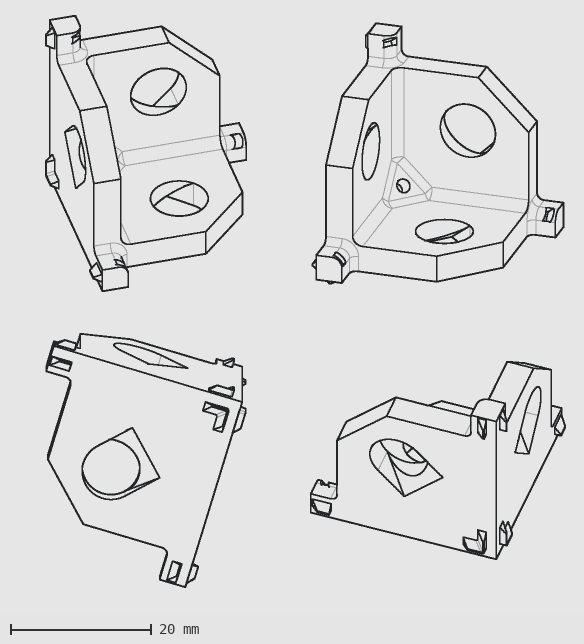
import cadquery as cq
import math


overall = 29.0
tab_height = 1.0
arm_length = overall - tab_height
arm_width = 3.83
arm_round = 1.45
wall = 4.0
plate_reach = 23.5
plate_reach_y = 24.07
plate_chamfer = 7.5
arm_fillet = 1.02

gusset_leg = 6.0
inner_fillet = 1.45
gusset_hole_diameter = 2.0
gusset_hole_depth = 2.9

window_center = 15.0
window_diameter = 8.2

slot_center = 27.03
slot_width = 1.15
slot_depth = 2.32

tab_offset = 1.5
tab_width = 1.33
tab_slope = 1.1
tab_start = 24.9
tab_end = 27.78
corner_tab_end = 5.02
corner_tab_round = 0.32
corner_tab_mitre_round = 0.44

ORIGIN = (0, 0, 0)
DIAGONAL = (1, 1, 1)
DIAGONAL_PLANE_NORMAL = (1, -1, 0)
NEAR = 0.03


def around_diagonal(shape):
    """The shape as given and turned so that X goes to Y, then to Z."""
    return [shape.rotate(ORIGIN, DIAGONAL, turn) for turn in (0, 120, 240)]


def plate(plane, reach_u, reach_v, thickness):
    """Plate with one corner at the origin and the opposite corner cut off at 45 degrees."""
    return (
        cq.Workplane(plane)
        .moveTo(0, 0)
        .lineTo(reach_u, 0)
        .lineTo(reach_u, reach_v - plate_chamfer)
        .lineTo(reach_u - plate_chamfer, reach_v)
        .lineTo(0, reach_v)
        .close()
        .extrude(thickness)
    )


def arm():
    """Square bar along X with its inner long edge rounded."""
    bar = cq.Workplane("XY").box(arm_length, arm_width, arm_width, centered=False)
    return bar.edges("|X and >Y and >Z").fillet(arm_round)


def gusset():
    """Tetrahedron filling the inner corner, with equal legs along the three plates."""
    leg = wall + gusset_leg
    corner = cq.Vector(wall, wall, wall)
    tips = [cq.Vector(leg, wall, wall), cq.Vector(wall, leg, wall), cq.Vector(wall, wall, leg)]
    triangles = [tips, [corner, tips[0], tips[1]], [corner, tips[1], tips[2]], [corner, tips[2], tips[0]]]
    faces = [cq.Face.makeFromWires(cq.Wire.makePolygon(t, close=True)) for t in triangles]
    return cq.Workplane(cq.Solid.makeSolid(cq.Shell.makeShell(faces)))


def window():
    """Round hole through the floor plate, with a wedge running out parallel to the body diagonal."""
    hole = cq.Workplane("XY").center(window_center, window_center).circle(window_diameter / 2).extrude(wall)
    section = cq.Plane((window_center, window_center, 0), xDir=(1, 1, 0), normal=DIAGONAL_PLANE_NORMAL)
    wedge = (
        cq.Workplane(section)
        .polyline([(0, 0), (-wall * math.sqrt(2), 0), (0, wall)])
        .close()
        .extrude(window_diameter / 2, both=True)
    )
    return hole.union(wedge)


def arm_slot():
    """Slot along the body diagonal, as wide as the rounded edge of the X arm."""
    middle = arm_width - arm_round + arm_round / math.sqrt(2)
    section = cq.Plane((slot_center, middle, middle), xDir=(0, 1, -1), normal=DIAGONAL)
    height = slot_width * math.sqrt(2 / 3)
    return (
        cq.Workplane(section)
        .rect(arm_round * math.sqrt(2), height)
        .extrude(slot_depth, both=True)
    )


def tapered_tab(base, tip):
    """Flat-sided tab from its base outline at z = 0 down to its tip outline."""
    return (
        cq.Workplane("XY").polyline(base).close()
        .workplane(offset=-tab_height).polyline(tip).close()
        .loft(ruled=True)
    )


def arm_tab():
    """Tab under the X arm, sloped on its inner side and its far end."""
    def outline(inset):
        inner = tab_offset + tab_width - inset
        end = tab_end - inset
        return [(tab_start, tab_offset), (end, tab_offset), (end, inner), (tab_start, inner)]

    return tapered_tab(outline(0), outline(tab_slope))


def corner_tab():
    """L-shaped tab under the corner, sloped on its inner sides and, at 45 degrees, on both ends."""
    def outline(side_inset, end_inset):
        outer = tab_offset
        inner = tab_offset + tab_width - side_inset
        end = corner_tab_end - end_inset
        return [(outer, outer), (end, outer), (end, inner), (inner, inner), (inner, end), (outer, end)]

    tab = tapered_tab(outline(0, 0), outline(tab_slope, tab_height))
    mid_height = -tab_height / 2
    mid_slope = tab_offset + tab_width - tab_slope / 2
    outer_corner = cq.selectors.NearestToPointSelector((tab_offset, tab_offset, mid_height))
    mitre = cq.selectors.NearestToPointSelector((mid_slope, mid_slope, mid_height))
    tab = tab.edges(mitre).fillet(corner_tab_mitre_round)
    return tab.edges(outer_corner).fillet(corner_tab_round)


body = plate("XY", plate_reach, plate_reach_y, wall)
body = body.union(plate("XZ", plate_reach, plate_reach, -wall))
body = body.union(plate("YZ", plate_reach_y, plate_reach, wall))
body = body.union(gusset())

low = wall - NEAR
high = wall + NEAR
gusset_reach = wall + gusset_leg
junctions = (
    cq.selectors.BoxSelector((low, low, low), (gusset_reach, gusset_reach, gusset_reach))
    + cq.selectors.BoxSelector((gusset_reach, low, low), (plate_reach, high, high))
    + cq.selectors.BoxSelector((low, gusset_reach, low), (high, plate_reach_y, high))
    + cq.selectors.BoxSelector((low, low, gusset_reach), (high, high, plate_reach))
)
body = body.edges(junctions).fillet(inner_fillet)

for turned_arm in around_diagonal(arm()):
    body = body.union(turned_arm)
arm_limit = arm_width + NEAR
arm_roots = (
    cq.selectors.BoxSelector((plate_reach - NEAR, NEAR, NEAR), (plate_reach + NEAR, arm_limit, arm_limit))
    + cq.selectors.BoxSelector(
        (NEAR, plate_reach_y - NEAR, NEAR), (arm_limit, plate_reach_y + NEAR, arm_limit)
    )
    + cq.selectors.BoxSelector((NEAR, NEAR, plate_reach - NEAR), (arm_limit, arm_limit, plate_reach + NEAR))
)
body = body.edges(arm_roots).fillet(arm_fillet)

for opening in around_diagonal(window()) + around_diagonal(arm_slot()):
    body = body.cut(opening)

gusset_center = wall + gusset_leg / 3
hole_plane = cq.Plane((gusset_center,) * 3, xDir=DIAGONAL_PLANE_NORMAL, normal=DIAGONAL)
body = body.cut(cq.Workplane(hole_plane).circle(gusset_hole_diameter / 2).extrude(-gusset_hole_depth))

mirrored_arm_tab = arm_tab().mirror(cq.Vector(*DIAGONAL_PLANE_NORMAL))
for tab in (arm_tab(), mirrored_arm_tab, corner_tab()):
    for turned_tab in around_diagonal(tab):
        body = body.union(turned_tab)

result = body